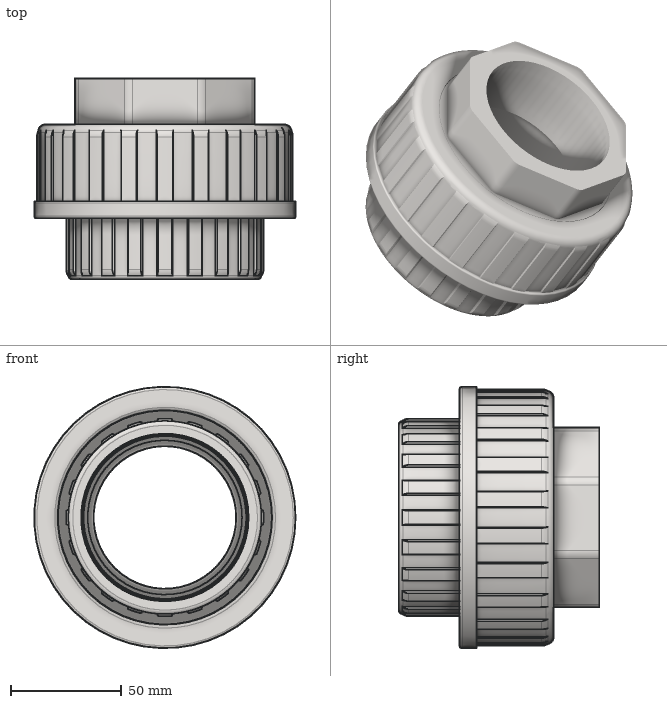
import cadquery as cq
import math


SOCKET_PROTRUSION = 27.7
NUT_LENGTH = 42.7
OCTAGON_LENGTH = 20.8
SOCKET_FRONT_Y = -SOCKET_PROTRUSION
TAIL_BACK_Y = NUT_LENGTH + OCTAGON_LENGTH

NUT_BASE_RADIUS = 57.6
NUT_BACK_ROUND = 3.6
FLANGE_RADIUS = 59.4
FLANGE_THICKNESS = 7.8
FLANGE_FRONT_ROUND = 1.2
FLANGE_BACK_ROUND = 0.6
NUT_BORE_RADIUS = 48.7
NUT_MOUTH_ROUND = 1.4
LIP_THICKNESS = 5.9
LIP_BORE_RADIUS = 45.2
LIP_Y = NUT_LENGTH - LIP_THICKNESS

NUT_RIB_COUNT = 22
NUT_RIB_RADIUS = 58.3
NUT_RIB_ROOT_WIDTH = 7.6
NUT_RIB_TOP_WIDTH = 6.9
NUT_RIB_END_ROUND = 5.7

COLLAR_THICKNESS = 5.9
COLLAR_Y = LIP_Y - COLLAR_THICKNESS
TAIL_BORE_RADIUS = 32.3
OCTAGON_SIDES = 8
OCTAGON_ACROSS_FLATS = 81.7
OCTAGON_CORNER_ROUND = 5.1

SHOULDER_DEPTH = 2.8
SHOULDER_RADIUS = 48.49
COLLAR_RADIUS = SHOULDER_RADIUS
NECK_RADIUS = 45.0
SOCKET_BASE_RADIUS = 43.8
SOCKET_FRONT_ROUND = 1.9
POCKET_MOUTH_RADIUS = 37.57
POCKET_END_RADIUS = 36.9
POCKET_DEPTH = 45.2
POCKET_MOUTH_CHAMFER = 0.5
SOCKET_BORE_RADIUS = 35.0

SOCKET_RIB_COUNT = 20
SOCKET_RIB_RADIUS = 44.81
SOCKET_RIB_ROOT_WIDTH = 7.0
SOCKET_RIB_TOP_WIDTH = 5.9
SOCKET_RIB_END_ROUND = 4.5

RIB_SINK = 1.2


def turned(profile):
    """Revolve a closed outline of (radius, y) about the Y axis."""
    return profile.close().revolve(360, (0, 0, 0), (0, 1, 0))


def cylinder(radius, y_start, y_end):
    """Cylinder on the Y axis from y_start to y_end."""
    return cq.Workplane("XZ", origin=(0, y_start, 0)).circle(radius).extrude(y_start - y_end)


def rib_blank(base_radius, top_radius, y_plain, y_round, end_round):
    """Ring as deep as the ribs, with its outer edge rounded at y_round."""
    inner_radius = base_radius - RIB_SINK
    direction = math.copysign(1, y_round - y_plain)
    arc_y = y_round - direction * end_round
    arc_radius = top_radius - end_round
    end_y = arc_y + direction * math.sqrt(end_round**2 - (inner_radius - arc_radius) ** 2)
    mid_angle = math.asin(abs(end_y - arc_y) / end_round) / 2
    arc_middle = (
        arc_radius + end_round * math.cos(mid_angle),
        arc_y + direction * end_round * math.sin(mid_angle),
    )
    return turned(
        cq.Workplane("XY")
        .moveTo(inner_radius, y_plain)
        .lineTo(top_radius, y_plain)
        .lineTo(top_radius, arc_y)
        .threePointArc(arc_middle, (inner_radius, end_y))
    )


def ribs(count, blank, base_radius, top_radius, root_width, top_width, y_start, y_end):
    """Tapered ribs, the first one at +Z, cut out of a ring-shaped blank."""
    side_slope = (root_width - top_width) / 2 / (top_radius - base_radius)
    low_z = base_radius - 2 * RIB_SINK
    high_z = top_radius + RIB_SINK
    low_half = root_width / 2 + side_slope * (base_radius - low_z)
    high_half = top_width / 2 - side_slope * (high_z - top_radius)
    wedge = (
        cq.Workplane("XZ", origin=(0, y_start, 0))
        .polyline([(-low_half, low_z), (low_half, low_z), (high_half, high_z), (-high_half, high_z)])
        .close()
        .extrude(y_start - y_end)
    )
    rib = blank.intersect(wedge)
    return [rib.rotate((0, 0, 0), (0, 1, 0), i * 360 / count) for i in range(count)]


def make_nut():
    """Ribbed union nut with a flange at its open end and a lip at its back."""
    nut = cylinder(NUT_BASE_RADIUS, 0, NUT_LENGTH).faces(">Y").edges().fillet(NUT_BACK_ROUND)
    blank = rib_blank(
        NUT_BASE_RADIUS, NUT_RIB_RADIUS, FLANGE_THICKNESS / 2, NUT_LENGTH, NUT_RIB_END_ROUND
    )
    for rib in ribs(
        NUT_RIB_COUNT, blank, NUT_BASE_RADIUS, NUT_RIB_RADIUS,
        NUT_RIB_ROOT_WIDTH, NUT_RIB_TOP_WIDTH, 0, NUT_LENGTH,
    ):
        nut = nut.union(rib)
    flange = cylinder(FLANGE_RADIUS, 0, FLANGE_THICKNESS)
    flange = flange.faces("<Y").edges().fillet(FLANGE_FRONT_ROUND)
    flange = flange.faces(">Y").edges().fillet(FLANGE_BACK_ROUND)
    cavity = turned(
        cq.Workplane("XY")
        .lineTo(NUT_BORE_RADIUS + NUT_MOUTH_ROUND, 0)
        .radiusArc((NUT_BORE_RADIUS, NUT_MOUTH_ROUND), NUT_MOUTH_ROUND)
        .lineTo(NUT_BORE_RADIUS, LIP_Y)
        .lineTo(LIP_BORE_RADIUS, LIP_Y)
        .lineTo(LIP_BORE_RADIUS, NUT_LENGTH)
        .lineTo(0, NUT_LENGTH)
    )
    return nut.union(flange).cut(cavity)


def make_socket():
    """Ribbed socket with a shoulder inside the nut and a tapered pipe pocket."""
    socket = cylinder(SOCKET_BASE_RADIUS, SOCKET_FRONT_Y, COLLAR_Y)
    socket = socket.faces("<Y").edges().fillet(SOCKET_FRONT_ROUND)
    blank = rib_blank(
        SOCKET_BASE_RADIUS, SOCKET_RIB_RADIUS, SHOULDER_DEPTH, SOCKET_FRONT_Y, SOCKET_RIB_END_ROUND
    )
    for rib in ribs(
        SOCKET_RIB_COUNT, blank, SOCKET_BASE_RADIUS, SOCKET_RIB_RADIUS,
        SOCKET_RIB_ROOT_WIDTH, SOCKET_RIB_TOP_WIDTH, SOCKET_FRONT_Y, SHOULDER_DEPTH,
    ):
        socket = socket.union(rib)
    shoulder = cylinder(SHOULDER_RADIUS, SHOULDER_DEPTH, COLLAR_Y)
    pocket_end_y = SOCKET_FRONT_Y + POCKET_DEPTH
    pocket = turned(
        cq.Workplane("XY")
        .moveTo(0, SOCKET_FRONT_Y)
        .lineTo(POCKET_MOUTH_RADIUS + POCKET_MOUTH_CHAMFER, SOCKET_FRONT_Y)
        .lineTo(POCKET_MOUTH_RADIUS, SOCKET_FRONT_Y + POCKET_MOUTH_CHAMFER)
        .lineTo(POCKET_END_RADIUS, pocket_end_y)
        .lineTo(SOCKET_BORE_RADIUS, pocket_end_y)
        .lineTo(SOCKET_BORE_RADIUS, COLLAR_Y)
        .lineTo(0, COLLAR_Y)
    )
    return socket.union(shoulder).cut(pocket)


def make_tail():
    """Octagonal tail piece with the collar that the nut pulls on."""
    corner_diameter = OCTAGON_ACROSS_FLATS / math.cos(math.pi / OCTAGON_SIDES)
    octagon = (
        cq.Workplane("XZ", origin=(0, COLLAR_Y, 0))
        .transformed(rotate=(0, 0, 180 / OCTAGON_SIDES))
        .polygon(OCTAGON_SIDES, corner_diameter)
        .extrude(COLLAR_Y - TAIL_BACK_Y)
        .edges("|Y")
        .fillet(OCTAGON_CORNER_ROUND)
    )
    collar = cylinder(COLLAR_RADIUS, COLLAR_Y, LIP_Y)
    neck = cylinder(NECK_RADIUS, LIP_Y, NUT_LENGTH)
    bore = cylinder(TAIL_BORE_RADIUS, COLLAR_Y, TAIL_BACK_Y)
    return octagon.union(collar).union(neck).cut(bore)


nut = make_nut()
socket = make_socket()
tail = make_tail()
result = cq.Compound.makeCompound([nut.val(), socket.val(), tail.val()])